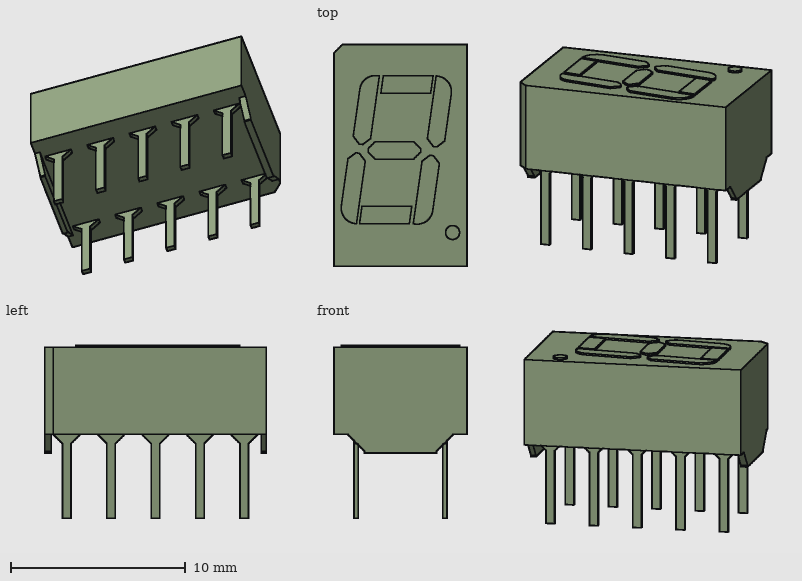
import cadquery as cq
import math

BODY_X = 7.62
BODY_Y = 12.7
BODY_HEIGHT = 5.0
CORNER_CHAMFER = 0.5

FOOT_TOP_HALF_WIDTH = 3.03
FOOT_TAPER = 0.97
FOOT_LAND = 0.1
FOOT_THICKNESS_REAR = 0.4
FOOT_THICKNESS_FRONT = 0.3

PIN_PITCH = 2.54
PINS_PER_ROW = 5
ROW_SPACING = 5.08
PIN_THICKNESS = 0.25
PIN_WIDTH = 0.5
PIN_LENGTH = 4.8
WEB_DEPTH = 0.78

SEGMENT_HEIGHT = 0.1
SEGMENT_WIDTH = 1.0
DIGIT_CENTER = (-0.24, 0.31)
DIGIT_HALF_HEIGHT = 4.23
SLANT_DEG = 8.0
UPRIGHT_SHOULDER = 3.62
UPRIGHT_ROUND = 0.9
POINT_CHAMFER = 0.4
LEFT_UPRIGHT_X = -0.97
RIGHT_UPRIGHT_X = 2.28
END_BAR_LENGTH = 2.85
END_BAR_CENTER_X = 0.61
MIDDLE_BAR_LENGTH = 3.0
MIDDLE_BAR_CENTER = (-0.35, 0.28)
POINT_DIAMETER = 0.8
POINT_CENTER = (2.98, -4.42)


def make_body():
    body = cq.Workplane("XY").box(BODY_X, BODY_Y, BODY_HEIGHT, centered=(True, True, False))
    return body.edges("|Z and <X and >Y").chamfer(CORNER_CHAMFER)


def make_foot(front_y, thickness):
    """Foot tapering at 45 degrees to a short straight land, from front_y toward +Y."""
    bottom_half_width = FOOT_TOP_HALF_WIDTH - FOOT_TAPER
    depth = FOOT_TAPER + FOOT_LAND
    outline = [
        (-FOOT_TOP_HALF_WIDTH, 0),
        (-bottom_half_width, -FOOT_TAPER),
        (-bottom_half_width, -depth),
        (bottom_half_width, -depth),
        (bottom_half_width, -FOOT_TAPER),
        (FOOT_TOP_HALF_WIDTH, 0),
    ]
    plane = cq.Workplane("XZ", origin=(0, front_y, 0))
    return plane.polyline(outline).close().extrude(-thickness)


def make_pin(x, y):
    """Flat lead with a 45-degree triangular web against the underside of the housing."""
    lead = cq.Workplane("XY").box(PIN_THICKNESS, PIN_WIDTH, PIN_LENGTH, centered=(True, True, False))
    lead = lead.translate((0, 0, -PIN_LENGTH))
    web = cq.Workplane("YZ").polyline([(-WEB_DEPTH, 0), (0, -WEB_DEPTH), (WEB_DEPTH, 0)]).close()
    web = web.extrude(PIN_THICKNESS / 2, both=True)
    return lead.union(web).translate((x, y, 0))


def opposite(segment):
    """The same segment half a turn around the digit centre."""
    center_x, center_y = DIGIT_CENTER
    return segment.rotate((center_x, center_y, 0), (center_x, center_y, 1), 180)


def make_upright(inner_x, outward):
    """Upper slanted segment; outward is -1 or +1, the side carrying the rounded corner."""
    upright = (
        cq.Workplane("XY")
        .rect(SEGMENT_WIDTH * outward, -UPRIGHT_SHOULDER - POINT_CHAMFER, centered=False)
        .extrude(SEGMENT_HEIGHT)
    )
    outer_side = ">X" if outward > 0 else "<X"
    upright = upright.edges("|Z and <Y").chamfer(POINT_CHAMFER)
    upright = upright.edges("|Z and >Y").edges(outer_side).fillet(UPRIGHT_ROUND)
    upright = upright.rotate((0, 0, 0), (0, 0, 1), -SLANT_DEG)
    center_x, center_y = DIGIT_CENTER
    return upright.translate((center_x + inner_x, center_y + DIGIT_HALF_HEIGHT, BODY_HEIGHT))


def make_top_bar():
    """Parallelogram with its ends at the digit slant."""
    lean = SEGMENT_WIDTH * math.tan(math.radians(SLANT_DEG)) / 2
    half_length = END_BAR_LENGTH / 2
    half_width = SEGMENT_WIDTH / 2
    outline = [
        (-half_length - lean, -half_width),
        (half_length - lean, -half_width),
        (half_length + lean, half_width),
        (-half_length + lean, half_width),
    ]
    bar = cq.Workplane("XY").polyline(outline).close().extrude(SEGMENT_HEIGHT)
    center_x, center_y = DIGIT_CENTER
    bar_y = center_y + DIGIT_HALF_HEIGHT - half_width
    return bar.translate((center_x + END_BAR_CENTER_X, bar_y, BODY_HEIGHT))


def make_middle_bar():
    bar = cq.Workplane("XY").rect(MIDDLE_BAR_LENGTH, SEGMENT_WIDTH).extrude(SEGMENT_HEIGHT)
    bar = bar.edges("|Z").chamfer(POINT_CHAMFER)
    return bar.translate((*MIDDLE_BAR_CENTER, BODY_HEIGHT))


def make_decimal_point():
    point = cq.Workplane("XY").circle(POINT_DIAMETER / 2).extrude(SEGMENT_HEIGHT)
    return point.translate((*POINT_CENTER, BODY_HEIGHT))


result = make_body()
result = result.union(make_foot(-BODY_Y / 2, FOOT_THICKNESS_FRONT))
result = result.union(make_foot(BODY_Y / 2 - FOOT_THICKNESS_REAR, FOOT_THICKNESS_REAR))

for row_x in (-ROW_SPACING / 2, ROW_SPACING / 2):
    for index in range(PINS_PER_ROW):
        pin_y = (index - (PINS_PER_ROW - 1) / 2) * PIN_PITCH
        result = result.union(make_pin(row_x, pin_y))

upper_segments = [
    make_upright(LEFT_UPRIGHT_X, -1),
    make_upright(RIGHT_UPRIGHT_X, 1),
    make_top_bar(),
]
for segment in upper_segments:
    result = result.union(segment).union(opposite(segment))

result = result.union(make_middle_bar()).union(make_decimal_point())